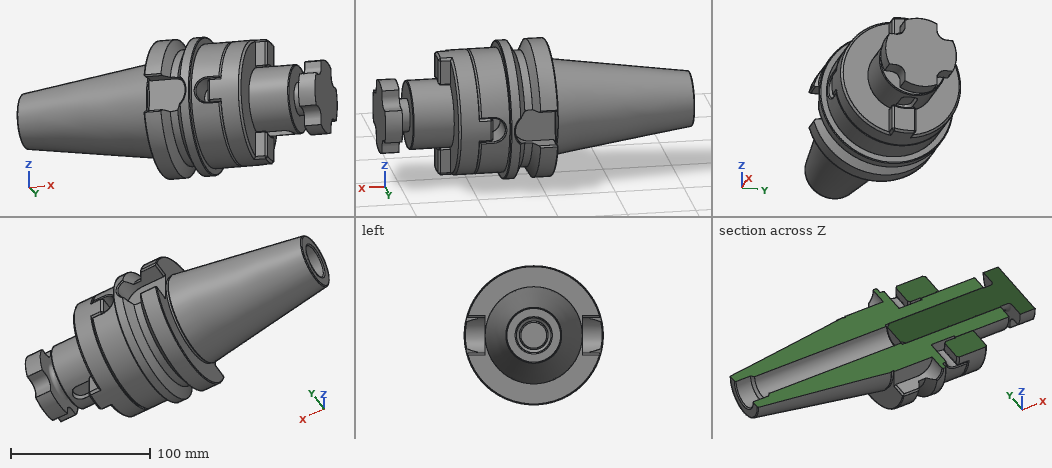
import cadquery as cq
import math


total_length = 226.8
clearance = 0.2

taper_ratio = 7 / 24
taper_large_radius = 35.0
taper_length = 102.3
taper_small_radius = taper_large_radius - taper_length * taper_ratio / 2
small_chamfer = 0.7
neck_radius = 34.2

flange_radius = 50.0
flange_start = 104.5
flange_end = 139.5
groove_start = 117.5
groove_end = 132.2
groove_floor_radius = 42.2
groove_wall_angle = 30
groove_wall_length = (flange_radius - groove_floor_radius) * math.tan(math.radians(groove_wall_angle))

drive_slot_width = 25.5
drive_slot_end = 136.0
drive_slot_floor = 35.2
drive_slot_chamfer = 1.4
slot_end_chamfer = 1.0

collar_radius = 45.02
collar_end = 161.5
edge_chamfer = 1.5

ring_end = 176.5
tenon_width = 18.0
rear_tenon_end = 151.5
front_tenon_end = 185.0

tenon_slot_end = rear_tenon_end - tenon_width / 2
tenon_slot_floor = 23.1

spigot_radius = 25.0
spigot_end = 206.5
key_width = 12.0
key_depth = 5.0
key_end = 202.3

bore_radius = 12.5
bore_depth = 13.0
bore_mouth_chamfer = 1.0
core_radius = 10.32
core_cone_length = bore_radius - core_radius

screw_radius = 12.0
screw_tip = 124.7
screw_tip_chamfer = 2.7
head_start = 214.3
head_radius = 26.5
head_fillet = 2.5
cross_corner_radius = 6.8


def turned(profile):
    """Revolve a profile of (X, radius) points about the X axis."""
    return cq.Workplane("XZ").polyline(profile).close().revolve(360, (0, 0, 0), (1, 0, 0))


def axial_cylinder(start, end, radius):
    return cq.Workplane("YZ", origin=(start, 0, 0)).circle(radius).extrude(end - start)


def slot_cutter(start, end, width, floor, top):
    """Slot along X, open at its start, square there and round at its end, cut from +Z."""
    half = width / 2
    return (
        cq.Workplane("XY", origin=(0, 0, floor))
        .moveTo(start, -half)
        .lineTo(end - half, -half)
        .threePointArc((end, 0), (end - half, half))
        .lineTo(start, half)
        .close()
        .extrude(top - floor)
    )


def about_x(shape, angle):
    return shape.rotate((0, 0, 0), (1, 0, 0), angle)


def turned_housing():
    return turned([
        (0, 0),
        (0, taper_small_radius - small_chamfer),
        (small_chamfer, taper_small_radius + small_chamfer * taper_ratio / 2),
        (taper_length, taper_large_radius),
        (taper_length + small_chamfer, neck_radius),
        (flange_start, neck_radius),
        (flange_start, flange_radius - small_chamfer),
        (flange_start + small_chamfer, flange_radius),
        (groove_start, flange_radius),
        (groove_start + groove_wall_length, groove_floor_radius),
        (groove_end - groove_wall_length, groove_floor_radius),
        (groove_end, flange_radius),
        (flange_end - small_chamfer, flange_radius),
        (flange_end, flange_radius - small_chamfer),
        (flange_end, collar_radius),
        (collar_end - edge_chamfer, collar_radius),
        (collar_end, collar_radius - edge_chamfer),
        (collar_end, spigot_radius),
        (spigot_end - small_chamfer, spigot_radius),
        (spigot_end, spigot_radius - small_chamfer),
        (spigot_end, 0),
    ])


def cut_drive_slots(body):
    """Two opposite slots through the front flange and groove into the rear flange."""
    start = flange_start - clearance
    top = flange_radius + clearance
    slot = slot_cutter(start, drive_slot_end, drive_slot_width, drive_slot_floor, top)
    for angle in (90, -90):
        body = body.cut(about_x(slot, angle))
    return body


def cut_tenon_slots(body):
    """Two round-ended slots, open at the collar rim, for the rear tenons."""
    slot = slot_cutter(-collar_end, -tenon_slot_end, tenon_width, tenon_slot_floor, flange_radius)
    slot = slot.mirror("YZ")
    for angle in (90, -90):
        body = body.cut(about_x(slot, angle))
    return body


def chamfer_slot_edges(body, start, end, size):
    """Chamfer the outer edges of the side slots whose centres lie between two X planes."""
    def is_chosen(edge):
        place = edge.Center()
        return start < place.x < end and abs(place.y) > drive_slot_floor + clearance
    return body.newObject([edge for edge in body.edges().vals() if is_chosen(edge)]).chamfer(size)


def chamfer_slots(body):
    body = chamfer_slot_edges(body, flange_start - clearance, flange_start + clearance, drive_slot_chamfer)
    body = chamfer_slot_edges(body, flange_start + drive_slot_chamfer, groove_start, drive_slot_chamfer)
    body = chamfer_slot_edges(body, groove_end, drive_slot_end, slot_end_chamfer)
    return chamfer_slot_edges(body, flange_end, collar_end - edge_chamfer, slot_end_chamfer)


def cut_keyway(body):
    """Round-ended keyway on the -Z side of the spigot."""
    length = key_end - ring_end
    key = (
        cq.Workplane("XY", origin=((ring_end + key_end) / 2, 0, -spigot_radius))
        .slot2D(length, key_width)
        .extrude(key_depth)
    )
    return body.cut(key)


def cut_bores(body):
    """Drawbar bore at the taper end and stepped screw hole from the spigot end."""
    bore = turned([
        (0, 0),
        (0, bore_radius + bore_mouth_chamfer),
        (bore_mouth_chamfer, bore_radius),
        (bore_depth, bore_radius),
        (bore_depth + core_cone_length, core_radius),
        (screw_tip, core_radius),
        (screw_tip, screw_radius),
        (spigot_end, screw_radius),
        (spigot_end, 0),
    ])
    return body.cut(bore)


def make_housing():
    body = turned_housing()
    body = cut_drive_slots(body)
    body = cut_tenon_slots(body)
    body = chamfer_slots(body)
    body = cut_keyway(body)
    return cut_bores(body)


def make_tenon(root, length):
    """Tenon on the +Z side, growing from the root plane toward +X, chamfered all round but at the root."""
    return (
        cq.Workplane("YZ", origin=(root, 0, collar_radius / 2))
        .rect(tenon_width, collar_radius + clearance)
        .extrude(length)
        .intersect(axial_cylinder(root, root + length, collar_radius))
        .cut(axial_cylinder(root, root + length, spigot_radius))
        .edges("|X or >X")
        .chamfer(edge_chamfer)
    )


def ring_blank(start, end):
    return axial_cylinder(start, end, collar_radius).cut(axial_cylinder(start, end, spigot_radius))


def make_driver_ring():
    """Sleeve cut back on both ends, except where the tenons stand."""
    sleeve = ring_blank(rear_tenon_end, front_tenon_end)
    front_waste = turned([
        (ring_end, spigot_radius),
        (ring_end, collar_radius - edge_chamfer),
        (ring_end - edge_chamfer, collar_radius),
        (front_tenon_end, collar_radius),
        (front_tenon_end, spigot_radius),
    ])
    rear_waste = ring_blank(rear_tenon_end, collar_end)
    root = (collar_end + ring_end) / 2
    front_tenon = make_tenon(root, front_tenon_end - root)
    rear_tenon = about_x(make_tenon(-root, root - rear_tenon_end).mirror("YZ"), 90)
    for angle in (0, 180):
        front_waste = front_waste.cut(about_x(front_tenon, angle))
        rear_waste = rear_waste.cut(about_x(rear_tenon, angle))
    return sleeve.cut(front_waste).cut(rear_waste)


def make_screw():
    """Cross-headed screw: chamfered tip, plain shank, filleted head with four corner notches."""
    shank = axial_cylinder(screw_tip, head_start, screw_radius).faces("<X").chamfer(screw_tip_chamfer)
    head = axial_cylinder(head_start, total_length, head_radius)
    screw = shank.union(head)
    screw = screw.edges(cq.selectors.RadiusNthSelector(1)).edges(">X").fillet(head_fillet)
    notch = (
        cq.Workplane("YZ", origin=(head_start, screw_radius, screw_radius))
        .rect(head_radius, head_radius, centered=False)
        .extrude(total_length - head_start)
        .edges("|X and <Y and <Z").fillet(cross_corner_radius)
    )
    for quarter in range(4):
        screw = screw.cut(about_x(notch, 90 * quarter))
    return screw


housing = make_housing()
driver_ring = make_driver_ring()
screw = make_screw()
result = cq.Compound.makeCompound([housing.val(), driver_ring.val(), screw.val()])